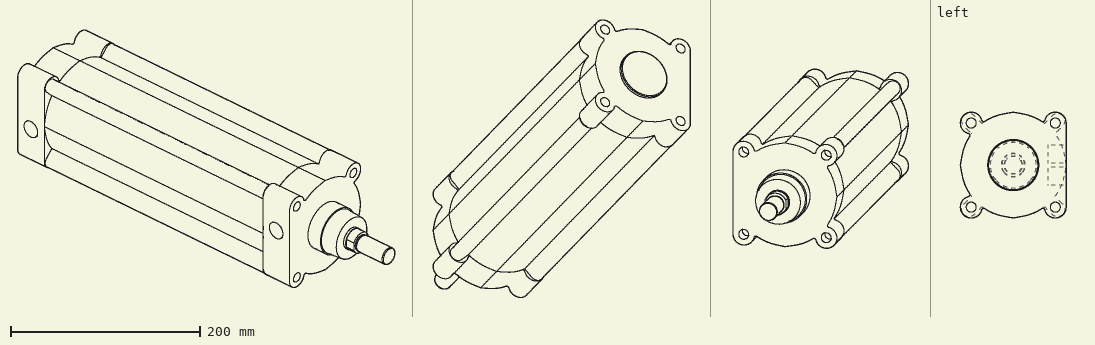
import cadquery as cq
import math


TOTAL_LENGTH = 483.0
REAR_BOSS_LENGTH = 4.0
CAP_LENGTH = 38.0
BARREL_LENGTH = 311.5
NECK_LENGTH = 18.0
COLLAR_LENGTH = 20.0
BARREL_START = REAR_BOSS_LENGTH + CAP_LENGTH
FRONT_CAP_START = BARREL_START + BARREL_LENGTH
NECK_START = FRONT_CAP_START + CAP_LENGTH
COLLAR_START = NECK_START + NECK_LENGTH
ROD_START = COLLAR_START + COLLAR_LENGTH

HALF_WIDTH = 56.0
RIDGE_ANGLE = 10.0
BODY_RADIUS = HALF_WIDTH * math.cos(math.radians(RIDGE_ANGLE))
RIDGE_HALF_WIDTH = BODY_RADIUS * math.sin(math.radians(RIDGE_ANGLE))
RIDGE_BASE_HEIGHT = BODY_RADIUS * math.cos(math.radians(RIDGE_ANGLE))
LOBE_RADIUS = 11.5
CORNER_OFFSET = HALF_WIDTH - LOBE_RADIUS
PORT_BLOCK_DEPTH = 17.0
VALLEY_FILLET = 2.0
EDGE_TOLERANCE = 0.05

RAIL_RADIUS = 7.5
RAIL_OFFSET = 47.0

SCREW_HOLE_RADIUS = 5.5
SCREW_HOLE_DEPTH = 19.5
PORT_RADIUS = 9.5
PORT_DEPTH = 19.5
PORT_OFFSET = 11.5

BOSS_RADIUS = 27.0
REAR_BOSS_CHAMFER = 1.0
COLLAR_RADIUS = 25.5
COLLAR_END_RADIUS = 24.0

ROD_RADIUS = 12.0
SHOULDER_RADIUS = 12.5
SHOULDER_LENGTH = 3.0
SHANK_LENGTH = 10.5
FLAT_HALF_GAP = 11.0
UNDERCUT_RADIUS = 9.0
UNDERCUT_LENGTH = 2.0
THREAD_RADIUS = 9.5
TIP_CHAMFER_LENGTH = 1.5
TIP_CHAMFER_DEPTH = 0.5


def corners(offset):
    """The four points at the given offset from the axis along both Y and Z."""
    return [(y, z) for y in (-offset, offset) for z in (-offset, offset)]


def section(x):
    """Workplane across the axis at x, with local X along Y and local Y along Z."""
    return cq.Workplane("YZ", origin=(x, 0, 0))


def cone(x, start_radius, end_radius, length):
    """Truncated cone on the axis, running along +X from x."""
    start = cq.Vector(x, 0, 0)
    return cq.Workplane(cq.Solid.makeCone(start_radius, end_radius, length, start, cq.Vector(1, 0, 0)))


def ridged_body(x, length):
    """Round body with a shallow pointed ridge on each of its four sides."""
    body = section(x).circle(BODY_RADIUS).extrude(length)
    right_base = (RIDGE_HALF_WIDTH, RIDGE_BASE_HEIGHT)
    left_base = (-RIDGE_HALF_WIDTH, RIDGE_BASE_HEIGHT)
    for quarter in range(4):
        ridge = (
            section(x)
            .polyline([(0, 0), right_base, (0, HALF_WIDTH), left_base])
            .close()
            .extrude(length)
            .rotate((0, 0, 0), (1, 0, 0), 90 * quarter)
        )
        body = body.union(ridge)
    return body


def valley_edges(body):
    """Edges along X where the lobes of a cap meet its round body."""
    return [
        edge
        for edge in body.edges("|X").vals()
        if abs(math.hypot(edge.Center().y, edge.Center().z) - BODY_RADIUS) < EDGE_TOLERANCE
        and min(abs(edge.Center().y), abs(edge.Center().z)) > 2 * RIDGE_HALF_WIDTH
    ]


def cap(x, port_height):
    """End cap with four screw lobes, a flat -Y face, and a port in that face."""
    lobes = section(x).pushPoints(corners(CORNER_OFFSET)).circle(LOBE_RADIUS).extrude(CAP_LENGTH)
    port_block = (
        section(x)
        .center(-HALF_WIDTH + PORT_BLOCK_DEPTH / 2, 0)
        .rect(PORT_BLOCK_DEPTH, 2 * CORNER_OFFSET)
        .extrude(CAP_LENGTH)
    )
    body = ridged_body(x, CAP_LENGTH).union(lobes).union(port_block)
    body = body.newObject(valley_edges(body)).fillet(VALLEY_FILLET)
    port = (
        cq.Workplane("XZ", origin=(x + CAP_LENGTH / 2, -HALF_WIDTH, port_height))
        .circle(PORT_RADIUS)
        .extrude(-PORT_DEPTH)
    )
    return body.cut(port)


def screw_holes(outer_face_x, direction):
    """Four blind holes from a cap's outer face into its lobes; direction is +1 or -1 along X."""
    return (
        section(outer_face_x)
        .pushPoints(corners(CORNER_OFFSET))
        .circle(SCREW_HOLE_RADIUS)
        .extrude(direction * SCREW_HOLE_DEPTH)
    )


def make_rear_cap():
    boss = section(0).circle(BOSS_RADIUS).extrude(REAR_BOSS_LENGTH)
    boss = boss.faces("<X").chamfer(REAR_BOSS_CHAMFER)
    body = cap(REAR_BOSS_LENGTH, -PORT_OFFSET)
    return body.cut(screw_holes(REAR_BOSS_LENGTH, 1)).union(boss)


def make_barrel():
    """Ridged tube body with a round rail at each corner, joined by a diagonal web as wide as the rail."""
    barrel = ridged_body(BARREL_START, BARREL_LENGTH)
    rails = section(BARREL_START).pushPoints(corners(RAIL_OFFSET)).circle(RAIL_RADIUS).extrude(BARREL_LENGTH)
    barrel = barrel.union(rails)
    web_length = 2 * math.hypot(RAIL_OFFSET, RAIL_OFFSET)
    for angle in (45, -45):
        web = (
            section(BARREL_START)
            .rect(web_length, 2 * RAIL_RADIUS)
            .extrude(BARREL_LENGTH)
            .rotate((0, 0, 0), (1, 0, 0), angle)
        )
        barrel = barrel.union(web)
    return barrel


def make_front_cap():
    neck = section(NECK_START).circle(BOSS_RADIUS).extrude(NECK_LENGTH)
    collar = cone(COLLAR_START, COLLAR_RADIUS, COLLAR_END_RADIUS, COLLAR_LENGTH)
    body = cap(FRONT_CAP_START, PORT_OFFSET)
    return body.cut(screw_holes(NECK_START, -1)).union(neck).union(collar)


def make_rod():
    """Rod end: shoulder, shank with two wrench flats, undercut and chamfered threaded end."""
    shank_start = ROD_START + SHOULDER_LENGTH
    undercut_start = shank_start + SHANK_LENGTH
    thread_start = undercut_start + UNDERCUT_LENGTH
    shoulder = section(ROD_START).circle(SHOULDER_RADIUS).extrude(SHOULDER_LENGTH)
    flats = section(shank_start).rect(2 * FLAT_HALF_GAP, 2 * ROD_RADIUS).extrude(SHANK_LENGTH)
    shank = section(shank_start).circle(ROD_RADIUS).extrude(SHANK_LENGTH).intersect(flats)
    undercut = section(undercut_start).circle(UNDERCUT_RADIUS).extrude(UNDERCUT_LENGTH)
    tip_start = TOTAL_LENGTH - TIP_CHAMFER_LENGTH
    thread = section(thread_start).circle(THREAD_RADIUS).extrude(tip_start - thread_start)
    tip = cone(tip_start, THREAD_RADIUS, THREAD_RADIUS - TIP_CHAMFER_DEPTH, TIP_CHAMFER_LENGTH)
    return shoulder.union(shank).union(undercut).union(thread).union(tip)


rear_cap = make_rear_cap()
barrel = make_barrel()
front_cap = make_front_cap()
rod = make_rod()

result = cq.Compound.makeCompound([rear_cap.val(), barrel.val(), front_cap.val(), rod.val()])